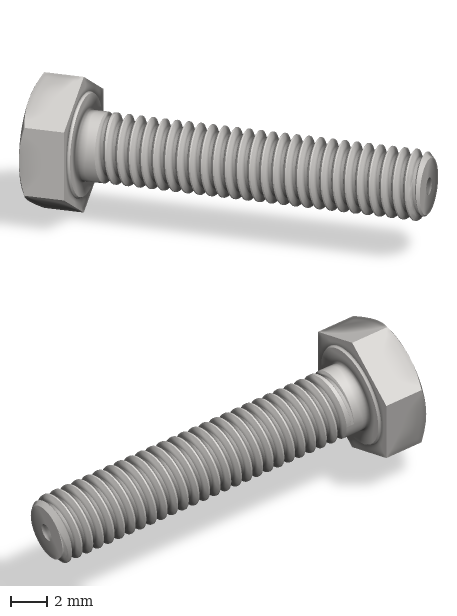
import cadquery as cq
import math

total_length = 22.8
bore_diameter = 1.0

across_flats = 7.0
across_corners = across_flats / math.cos(math.radians(30))
head_height = 2.65
head_face_diameter = 6.95
head_chamfer_angle = 30.0

washer_diameter = 6.02
washer_thickness = 0.15
washer_taper = 30.0
shank_start = head_height + washer_thickness
under_head_fillet = 0.11

thread_diameter = 4.0
thread_start = 3.9
thread_turns = 27
thread_pitch = (total_length - thread_start) / thread_turns
root_diameter = 3.24
crest_width = thread_pitch / 8
groove_width = thread_pitch - crest_width
flank_half_angle = 30.0
runout_turns = 0.5
cutter_overshoot = 0.05

shank_radius = thread_diameter / 2
root_radius = root_diameter / 2
thread_depth = shank_radius - root_radius
tip_chamfer = thread_depth


def make_head():
    """Hexagonal prism, corners up and down, with a conical chamfer on its outer face."""
    hexagon = (
        cq.Workplane("YZ")
        .polygon(6, across_corners)
        .extrude(head_height)
        .rotate((0, 0, 0), (1, 0, 0), 90)
    )
    face_radius = head_face_diameter / 2
    rim_radius = face_radius + head_height / math.tan(math.radians(head_chamfer_angle))
    chamfer_cone = (
        cq.Workplane("XY")
        .polyline([(0, 0), (0, face_radius), (head_height, rim_radius), (head_height, 0)])
        .close()
        .revolve(360, (0, 0, 0), (1, 0, 0))
    )
    return hexagon.intersect(chamfer_cone)


def make_shank():
    """Tapered washer face and plain shank, filleted where they meet and chamfered at the tip."""
    washer = (
        cq.Workplane("YZ", origin=(head_height, 0, 0))
        .circle(washer_diameter / 2)
        .extrude(washer_thickness, taper=washer_taper)
    )
    shank = (
        cq.Workplane("YZ", origin=(head_height, 0, 0))
        .circle(shank_radius)
        .extrude(total_length - head_height)
        .faces(">X")
        .chamfer(tip_chamfer)
    )
    fillet_collar = (
        cq.Workplane("XY")
        .moveTo(shank_start, 0)
        .lineTo(shank_start, shank_radius + under_head_fillet)
        .radiusArc((shank_start + under_head_fillet, shank_radius), -under_head_fillet)
        .lineTo(shank_start + under_head_fillet, 0)
        .close()
        .revolve(360, (0, 0, 0), (1, 0, 0))
    )
    return washer.union(shank).union(fillet_collar)


def helix_edge(start, radius, turns, cone_angle):
    """Right-handed helix about Z, its radius changing along a cone unless cone_angle is 0."""
    slant = math.cos(math.radians(cone_angle))
    wire = cq.Wire.makeHelix(
        thread_pitch / slant,
        turns * thread_pitch / slant,
        radius,
        cq.Vector(0, 0, start),
        cq.Vector(0, 0, 1),
        cone_angle if cone_angle else 360,
    )
    return wire.Edges()[0]


def groove_cutter(start, bottom_radius, turns, cone_angle=0.0):
    """Solid of the V groove with a flat root, lying along the X axis and starting at +Y."""
    tan_flank = math.tan(math.radians(flank_half_angle))
    half_top = groove_width / 2 + cutter_overshoot * tan_flank
    half_root = groove_width / 2 - thread_depth * tan_flank
    top_radius = bottom_radius + thread_depth + cutter_overshoot
    corners = [
        (-half_top, top_radius),
        (-half_root, bottom_radius),
        (half_root, bottom_radius),
        (half_top, top_radius),
    ]
    edges = [helix_edge(start + shift, radius, turns, cone_angle) for shift, radius in corners]
    sides = [cq.Face.makeRuledSurface(edges[i - 1], edges[i]) for i in range(len(edges))]
    caps = [
        cq.Face.makeFromWires(cq.Wire.makePolygon([e.positionAt(end) for e in edges], close=True))
        for end in (0, 1)
    ]
    solid = cq.Solid.makeSolid(cq.Shell.makeShell(sides + caps))
    return solid.moved(cq.Location(cq.Plane.named("YZ")))


def cut_thread(body):
    """Cut the runout, where the groove deepens, and then the full-depth groove to the tip."""
    runout_length = runout_turns * thread_pitch
    cone_angle = -math.degrees(math.atan(thread_depth / runout_length))
    runout = groove_cutter(thread_start, shank_radius, runout_turns, cone_angle)

    full_start = thread_start + runout_length
    full_groove = groove_cutter(full_start, root_radius, thread_turns)
    full_groove = full_groove.rotate(cq.Vector(), cq.Vector(1, 0, 0), 360 * runout_turns)
    return body.cut(cq.Workplane(runout)).cut(cq.Workplane(full_groove))


bore = cq.Workplane("YZ").circle(bore_diameter / 2).extrude(total_length)
result = make_head().union(cut_thread(make_shank())).cut(bore)